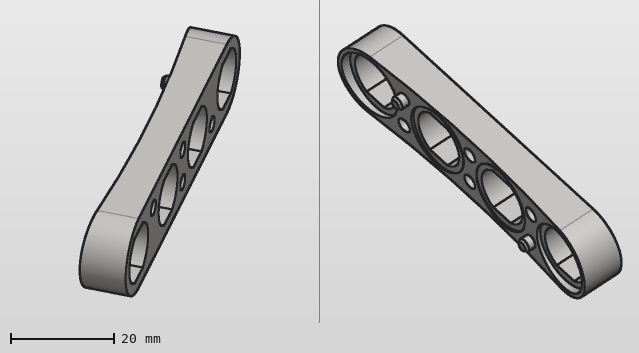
import cadquery as cq

length = 74.0
height = 17.0
end_thickness = 9.3
middle_thickness = 7.2

bore_count = 4
bore_diameter = 12.2
bore_flat_height = 11.0
recess_diameter = 15.1
recess_floor = 7.0

small_hole_diameter = 3.2
pin_diameter = 2.9
pin_reach = 10.0
pin_tip_diameter = 2.1
pin_tip_length = 0.6
row_offset = 4.0

bore_pitch = (length - height) / (bore_count - 1)
bore_centers = [((i - (bore_count - 1) / 2) * bore_pitch, 0) for i in range(bore_count)]
pin_centers = [(bore_pitch, row_offset), (-bore_pitch, -row_offset)]
hole_centers = [
    (0, row_offset),
    (0, -row_offset),
    (bore_pitch, -row_offset),
    (-bore_pitch, row_offset),
]


def side_plane(distance):
    """Plane parallel to YZ, at a distance in front of the back face."""
    return cq.Workplane("YZ", origin=(-distance, 0, 0))


def make_bar():
    """Rounded bar whose front is a cylindrical hollow with its axis along Z."""
    hollow_profile = (
        cq.Workplane("XY", origin=(0, 0, -height / 2))
        .moveTo(0, -length / 2)
        .lineTo(-end_thickness, -length / 2)
        .threePointArc((-middle_thickness, 0), (-end_thickness, length / 2))
        .lineTo(0, length / 2)
        .close()
        .extrude(height)
    )
    rounded_outline = side_plane(end_thickness).slot2D(length, height).extrude(end_thickness)
    return hollow_profile.intersect(rounded_outline)


def make_bores():
    """Through bores: circles cut off by a flat above and below."""
    circles = (
        side_plane(end_thickness).pushPoints(bore_centers)
        .circle(bore_diameter / 2).extrude(end_thickness)
    )
    flat_band = side_plane(end_thickness).rect(length, bore_flat_height).extrude(end_thickness)
    return circles.intersect(flat_band)


def make_recesses():
    """Round recesses running from the front down to a common flat floor."""
    return (
        side_plane(end_thickness).pushPoints(bore_centers)
        .circle(recess_diameter / 2).extrude(end_thickness - recess_floor)
    )


def make_small_holes():
    """Plain through holes."""
    return (
        side_plane(end_thickness).pushPoints(hole_centers)
        .circle(small_hole_diameter / 2).extrude(end_thickness)
    )


def make_pin(y, z):
    """Pin rooted inside the bar, with a tapered tip."""
    root = middle_thickness / 2
    return (
        cq.Workplane("XY")
        .moveTo(-root, 0)
        .lineTo(-root, pin_diameter / 2)
        .lineTo(-(pin_reach - pin_tip_length), pin_diameter / 2)
        .lineTo(-pin_reach, pin_tip_diameter / 2)
        .lineTo(-pin_reach, 0)
        .close()
        .revolve(360, (0, 0, 0), (1, 0, 0))
        .translate((0, y, z))
    )


result = make_bar().cut(make_bores()).cut(make_recesses()).cut(make_small_holes())
for pin_y, pin_z in pin_centers:
    result = result.union(make_pin(pin_y, pin_z))